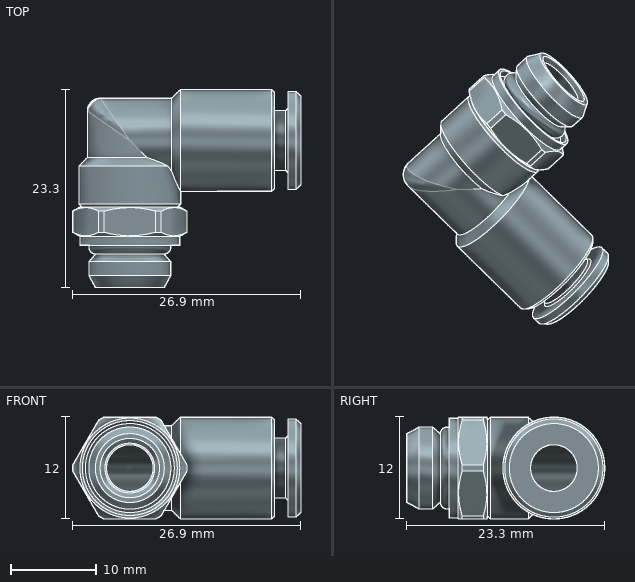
import cadquery as cq
import math


overall_length = 26.85
overall_height = 23.3
socket_radius = 12.0 / 2
hex_corner_radius = 13.45 / 2

x_end = overall_length - hex_corner_radius
y_end = overall_height - socket_radius

elbow_radius = 5.0
elbow_edge_fillet = 1.5
shoulder = socket_radius - elbow_radius
socket_chamfer = 0.35
x_socket_start = 5.93
x_socket_end = 17.02
y_socket_start = 3.0
y_socket_end = 7.8
housing_bore_radius = 2.75

collar_neck_radius = 3.55
collar_flare = 0.27
collar_radius = 5.77
collar_thickness = 1.53
collar_chamfer_length = 0.6
collar_chamfer_depth = 0.55

hex_sides = 6
hex_length = 3.46
hex_chamfer_angle = 30.0
flange_radius = 5.88
flange_length = 1.05

recess_mouth_radius = 5.58
recess_floor_radius = 5.24
seal_core_radius = 4.03
thread_radius = 4.83
seal_section_radius = thread_radius - seal_core_radius
seal_end_setback = 3.95
thread_length = 1.6
tip_length = 1.45
tip_radius = 4.05

fitting_bore_radius = 2.93
mouth_radius = 3.5
mouth_depth = 0.5


def mitred_corner(radius):
    """Outer quarter of the elbow, where two equal round arms meet at a mitre."""
    along_x = cq.Workplane("YZ").circle(radius).extrude(-2 * radius)
    along_y = cq.Workplane("XZ").circle(radius).extrude(-2 * radius)
    quarter = cq.Workplane("XY").box(radius, radius, 2 * radius).translate((-radius / 2, radius / 2, 0))
    return quarter.intersect(along_x).intersect(along_y)


def revolve_about_x(profile):
    return profile.close().revolve(360, (0, 0, 0), (1, 0, 0))


def revolve_about_y(profile):
    return profile.close().revolve(360, (0, 0, 0), (0, 1, 0))


def make_x_arm():
    """Arm along +X with its socket, the gap after it and the release collar."""
    x_collar = x_end - collar_thickness
    return revolve_about_x(
        cq.Workplane("XY")
        .moveTo(0, 0)
        .lineTo(0, elbow_radius)
        .lineTo(x_socket_start - shoulder, elbow_radius)
        .lineTo(x_socket_start, socket_radius)
        .lineTo(x_socket_end - socket_chamfer, socket_radius)
        .lineTo(x_socket_end, socket_radius - socket_chamfer)
        .lineTo(x_socket_end, collar_neck_radius)
        .lineTo(x_collar - collar_flare, collar_neck_radius)
        .lineTo(x_collar, collar_neck_radius + collar_flare)
        .lineTo(x_collar, collar_radius)
        .lineTo(x_end - collar_chamfer_length, collar_radius)
        .lineTo(x_end, collar_radius - collar_chamfer_depth)
        .lineTo(x_end, 0)
    )


def make_y_arm():
    """Arm along -Y with its socket, ending where the threaded fitting begins."""
    return revolve_about_y(
        cq.Workplane("XY")
        .moveTo(0, 0)
        .lineTo(elbow_radius, 0)
        .lineTo(elbow_radius, -y_socket_start + shoulder)
        .lineTo(socket_radius, -y_socket_start)
        .lineTo(socket_radius, -y_socket_end + socket_chamfer)
        .lineTo(socket_radius - socket_chamfer, -y_socket_end)
        .lineTo(0, -y_socket_end)
    )


def make_housing():
    corner = mitred_corner(elbow_radius).edges("%ELLIPSE").fillet(elbow_edge_fillet)
    x_bore = cq.Workplane("YZ").circle(housing_bore_radius).extrude(x_end)
    y_bore = cq.Workplane("XZ").circle(housing_bore_radius).extrude(y_socket_end)
    bore = x_bore.union(y_bore).union(mitred_corner(housing_bore_radius))
    return make_x_arm().union(make_y_arm()).union(corner).cut(bore)


def make_hexagon():
    """Hexagon with flats facing +Z and -Z, corners trimmed round and both ends chamfered."""
    y_start = -y_socket_end
    y_stop = y_start - hex_length
    chamfer_length = (hex_corner_radius - flange_radius) * math.tan(math.radians(hex_chamfer_angle))
    prism = (
        cq.Workplane("XZ", origin=(0, y_start, 0))
        .polygon(hex_sides, 2 * socket_radius / math.cos(math.pi / hex_sides))
        .extrude(hex_length)
    )
    envelope = revolve_about_y(
        cq.Workplane("XY")
        .moveTo(0, y_start)
        .lineTo(flange_radius, y_start)
        .lineTo(hex_corner_radius, y_start - chamfer_length)
        .lineTo(hex_corner_radius, y_stop + chamfer_length)
        .lineTo(flange_radius, y_stop)
        .lineTo(0, y_stop)
    )
    return prism.intersect(envelope)


def make_threaded_end():
    """Recessed flange, seal ring and thread, turned in one profile."""
    y_flange = -y_socket_end - hex_length
    y_flange_end = y_flange - flange_length
    y_seal_end = -y_end + seal_end_setback
    y_seal_middle = y_seal_end + seal_section_radius
    y_recess_floor = y_seal_middle + seal_section_radius
    y_tip = -y_end + tip_length
    y_thread = y_tip + thread_length
    return revolve_about_y(
        cq.Workplane("XY")
        .moveTo(0, y_flange)
        .lineTo(flange_radius, y_flange)
        .lineTo(flange_radius, y_flange_end)
        .lineTo(recess_mouth_radius, y_flange_end)
        .lineTo(recess_floor_radius, y_recess_floor)
        .lineTo(seal_core_radius, y_recess_floor)
        .threePointArc((thread_radius, y_seal_middle), (seal_core_radius, y_seal_end))
        .lineTo(thread_radius, y_thread)
        .lineTo(thread_radius, y_tip)
        .lineTo(tip_radius, -y_end)
        .lineTo(0, -y_end)
    )


def make_fitting():
    bore = revolve_about_y(
        cq.Workplane("XY")
        .moveTo(0, -y_socket_end)
        .lineTo(housing_bore_radius, -y_socket_end)
        .lineTo(fitting_bore_radius, -y_end + mouth_depth)
        .lineTo(mouth_radius, -y_end)
        .lineTo(0, -y_end)
    )
    return make_hexagon().union(make_threaded_end()).cut(bore)


housing = make_housing()
fitting = make_fitting()

result = cq.Compound.makeCompound([housing.val(), fitting.val()])